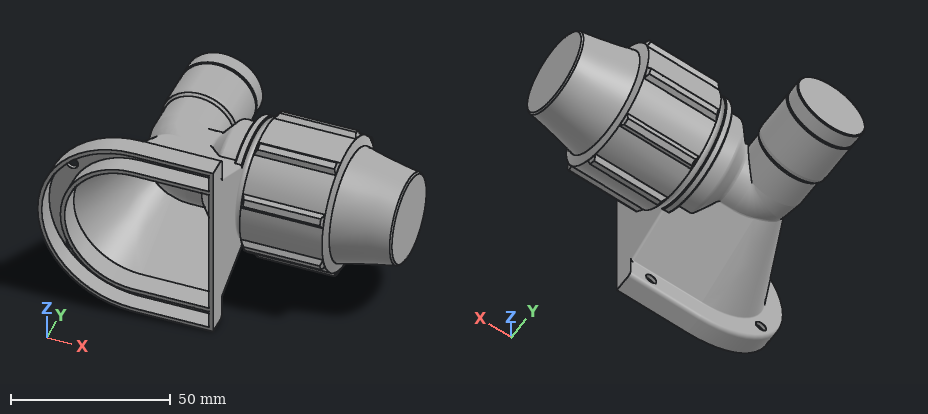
import cadquery as cq
import math


flange_radius = 32.0
flange_end_x = 27.1
flange_depth = 7.7
flange_edge_round = 1.6
wall = 1.4
channel_inner_radius = 24.3
channel_depth = flange_depth - wall

hole_diameter = 4.0
hole_path_radius = 28.0
hole_arc_angle = 35.5
hole_straight_x = 19.2

housing_base_radius = channel_inner_radius
housing_taper = 0.46
housing_top_y = 39.6
cavity_radius = housing_base_radius - wall
cavity_end_x = flange_end_x - wall
housing_edge_round = 0.9
housing_base_fillet = 0.8
elbow_fillet = 0.9

pipe_radius = 12.1
bend_radius = 7.5
outlet_axis_y = 38.0
bend_top_y = outlet_axis_y + bend_radius
spigot_radius = 26.1 / 2
spigot_end_y = 78.0
spigot_start_y = 58.0
spigot_shoulder_y = 56.6
spigot_shoulder_radius = 12.9
spigot_step_y = 55.7
spigot_groove_y = 71.9
spigot_groove_width = 0.5
spigot_groove_depth = 0.2
spigot_chamfer = 0.3

neck_end_x = 13.0
body_start_x = 18.2
body_radius = 36.0 / 2
body_edge_round = 1.5
collar_start_x = 24.4
collar_radius = 21.0
collar_root_fillet = 1.4
collar_chamfer = 0.3
nut_start_x = 29.8
nut_end_x = 58.6
nut_radius = 22.3
nut_bevel_length = 1.1
tail_start_radius = 19.0
tail_end_radius = 15.2
tail_end_x = 78.0
tail_edge = 0.5
tail_hollow = 0.2

rib_count = 8
rib_root_sink = 0.2
rib_root_radius = nut_radius - rib_root_sink
rib_tip_radius = 24.0
rib_root_width = 4.7
rib_tip_width = 2.3
rib_tip_start_x = 31.0
rib_tip_end_x = 56.9

edge_margin = 0.1


def d_shape(radius, end_x, start_y, depth):
    """D-shaped prism: half round about the spigot axis, straight sides out to end_x."""
    return (
        cq.Workplane("XZ", origin=(0, start_y, 0))
        .moveTo(end_x, radius)
        .lineTo(0, radius)
        .threePointArc((-radius, 0), (0, -radius))
        .lineTo(end_x, -radius)
        .close()
        .extrude(-depth)
    )


def tapered_d(base_radius, end_x, base_y, top_y):
    """D-shaped body whose round end and straight sides narrow at the housing taper."""
    top_radius = base_radius - housing_taper * (top_y - base_y)
    round_end = (
        cq.Workplane("XY")
        .polyline([(0, base_y), (base_radius, base_y), (top_radius, top_y), (0, top_y)])
        .close()
        .revolve(360, (0, 0), (0, 1))
    )
    sides = (
        cq.Workplane("YZ")
        .polyline([
            (base_y, -base_radius),
            (base_y, base_radius),
            (top_y, top_radius),
            (top_y, -top_radius),
        ])
        .close()
        .extrude(end_x)
    )
    return round_end.union(sides)


def make_housing():
    """Solid flange and housing, with a fillet between them and rounded end edges."""
    flange = d_shape(flange_radius, flange_end_x, 0, flange_depth)
    rounded_flange = flange.edges(">Y").edges("not(>X)").fillet(flange_edge_round)
    housing = tapered_d(housing_base_radius, flange_end_x, flange_depth, housing_top_y)
    reach = housing_base_radius + housing_base_fillet
    base_edges = cq.selectors.BoxSelector(
        (-reach, flange_depth - edge_margin, -reach),
        (flange_end_x - edge_margin, flange_depth + edge_margin, reach),
    )
    end_edges = cq.selectors.BoxSelector(
        (flange_end_x - edge_margin, flange_depth + housing_base_fillet, -housing_base_radius),
        (flange_end_x + edge_margin, housing_top_y - edge_margin, housing_base_radius),
    )
    body = flange.union(housing).edges(base_edges).fillet(housing_base_fillet)
    rounded_housing = body.edges(end_edges).fillet(housing_edge_round).cut(flange)
    return rounded_flange.union(rounded_housing)


def make_channel():
    channel = d_shape(flange_radius - wall, cavity_end_x, 0, channel_depth)
    return channel.cut(d_shape(channel_inner_radius, cavity_end_x, 0, channel_depth))


def make_cavity():
    opening = d_shape(cavity_radius, cavity_end_x, 0, flange_depth)
    return opening.union(tapered_d(cavity_radius, cavity_end_x, flange_depth, housing_top_y - wall))


def make_screw_holes():
    angle = math.radians(hole_arc_angle)
    arc_x = -hole_path_radius * math.cos(angle)
    arc_z = hole_path_radius * math.sin(angle)
    points = []
    for side in (1, -1):
        points.append((arc_x, side * arc_z))
        points.append((hole_straight_x, side * hole_path_radius))
    return cq.Workplane("XZ").pushPoints(points).circle(hole_diameter / 2).extrude(-flange_depth)


def make_bend():
    """Quarter bend tighter than its own pipe: only the disc outside the bend axis is swept."""
    chord = math.sqrt(pipe_radius**2 - bend_radius**2)
    return (
        cq.Workplane("XZ", origin=(0, bend_top_y, 0))
        .moveTo(bend_radius, chord)
        .threePointArc((-pipe_radius, 0), (bend_radius, -chord))
        .close()
        .revolve(90, (bend_radius, 0), (bend_radius, 1))
    )


def make_neck():
    return (
        cq.Workplane("YZ", origin=(bend_radius, outlet_axis_y, 0))
        .circle(pipe_radius)
        .extrude(body_start_x - bend_radius)
    )


def make_spigot():
    groove_radius = spigot_radius - spigot_groove_depth
    groove_end_y = spigot_groove_y + spigot_groove_width
    profile = [
        (0, bend_top_y),
        (pipe_radius, bend_top_y),
        (pipe_radius, spigot_step_y),
        (spigot_shoulder_radius, spigot_shoulder_y),
        (spigot_radius, spigot_start_y),
        (spigot_radius, spigot_groove_y),
        (groove_radius, spigot_groove_y),
        (groove_radius, groove_end_y),
        (spigot_radius, groove_end_y),
        (spigot_radius, spigot_end_y - spigot_chamfer),
        (spigot_radius - spigot_chamfer, spigot_end_y),
        (0, spigot_end_y),
    ]
    return cq.Workplane("XY").polyline(profile).close().revolve(360, (0, 0), (0, 1))


def make_outlet():
    root_radius = body_radius + collar_root_fillet
    tail_mid_x = (nut_end_x + tail_end_x - tail_edge) / 2
    tail_mid_radius = (tail_start_radius + tail_end_radius) / 2 - tail_hollow
    outlet = (
        cq.Workplane("XY", origin=(0, outlet_axis_y, 0))
        .moveTo(bend_radius, 0)
        .lineTo(bend_radius, pipe_radius)
        .lineTo(neck_end_x, pipe_radius)
        .lineTo(body_start_x, body_radius)
        .lineTo(collar_start_x - collar_root_fillet, body_radius)
        .radiusArc((collar_start_x, root_radius), -collar_root_fillet)
        .lineTo(collar_start_x, collar_radius - collar_chamfer)
        .lineTo(collar_start_x + collar_chamfer, collar_radius)
        .lineTo(flange_end_x - collar_chamfer, collar_radius)
        .lineTo(flange_end_x, collar_radius - collar_chamfer)
        .lineTo(flange_end_x, root_radius)
        .radiusArc((flange_end_x + collar_root_fillet, body_radius), -collar_root_fillet)
        .lineTo(nut_start_x, body_radius)
        .lineTo(nut_start_x, nut_radius)
        .lineTo(nut_end_x - nut_bevel_length, nut_radius)
        .lineTo(nut_end_x, tail_start_radius)
        .threePointArc((tail_mid_x, tail_mid_radius), (tail_end_x - tail_edge, tail_end_radius))
        .lineTo(tail_end_x, tail_end_radius - tail_edge)
        .lineTo(tail_end_x, 0)
        .close()
        .revolve(360, (0, 0), (1, 0))
    )
    cone_ends = cq.selectors.BoxSelector(
        (neck_end_x - edge_margin, outlet_axis_y - collar_radius, -collar_radius),
        (body_start_x + edge_margin, outlet_axis_y + collar_radius, collar_radius),
        boundingbox=True,
    )
    return outlet.edges(cone_ends).edges("%CIRCLE").fillet(body_edge_round)


def make_rib():
    """Rib on the +Z side of the nut, with sloping flanks and ends."""
    root_end_x = nut_end_x - nut_bevel_length
    root_mid_x = (nut_start_x + root_end_x) / 2
    tip_mid_x = (rib_tip_start_x + rib_tip_end_x) / 2
    return (
        cq.Workplane("XY", origin=(root_mid_x, outlet_axis_y, rib_root_radius))
        .rect(root_end_x - nut_start_x, rib_root_width)
        .workplane(offset=rib_tip_radius - rib_root_radius)
        .center(tip_mid_x - root_mid_x, 0)
        .rect(rib_tip_end_x - rib_tip_start_x, rib_tip_width)
        .loft(ruled=True)
    )


def add_ribs(body):
    """Space the ribs evenly round the nut, half a pitch away from the Z direction."""
    rib = make_rib()
    axis_start = (0, outlet_axis_y, 0)
    axis_end = (1, outlet_axis_y, 0)
    pitch = 360 / rib_count
    for index in range(rib_count):
        body = body.union(rib.rotate(axis_start, axis_end, (index + 0.5) * pitch))
    return body


def make_inner_core():
    """Sharp-edged form that the neck and outlet body take inside the housing cavity."""
    profile = [
        (bend_radius, 0),
        (bend_radius, pipe_radius),
        (neck_end_x, pipe_radius),
        (body_start_x, body_radius),
        (collar_start_x, body_radius),
        (collar_start_x, collar_radius),
        (flange_end_x, collar_radius),
        (flange_end_x, 0),
    ]
    outlet_plane = cq.Workplane("XY", origin=(0, outlet_axis_y, 0))
    return outlet_plane.polyline(profile).close().revolve(360, (0, 0), (1, 0))


def round_crease(body):
    """Fillet the crease where the sloping housing runs into the underside of the elbow."""
    crease = cq.selectors.BoxSelector(
        (-pipe_radius, outlet_axis_y - pipe_radius / 2, -pipe_radius),
        (body_start_x - edge_margin, outlet_axis_y - edge_margin, pipe_radius),
    )
    return body.edges(crease).edges("%BSPLINE or %LINE").fillet(elbow_fillet)


bend_and_spigot = make_bend().union(make_spigot())
outside = round_crease(make_housing().union(bend_and_spigot).union(make_neck()))
outside = outside.union(make_outlet())
hollow = make_cavity().cut(make_inner_core()).cut(bend_and_spigot)
result = outside.cut(hollow).cut(make_channel()).cut(make_screw_holes())
result = add_ribs(result)